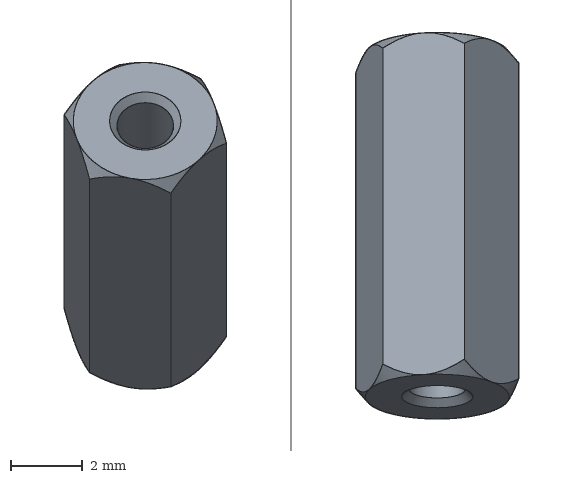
import cadquery as cq
import math

SIDES = 6
ACROSS_FLATS = 4.0
LENGTH = 10.0
BORE_DIAMETER = 1.567
COUNTERSINK_DIAMETER = 1.98
COUNTERSINK_DEPTH = 0.22
CORNER_CHAMFER_HEIGHT = 0.38

flat_radius = ACROSS_FLATS / 2
corner_radius = flat_radius / math.cos(math.pi / SIDES)
bore_radius = BORE_DIAMETER / 2
countersink_radius = COUNTERSINK_DIAMETER / 2


def hexagonal_bar():
    return cq.Workplane("XY").polygon(SIDES, 2 * corner_radius).extrude(LENGTH)


def turned_envelope():
    """Hollow solid of revolution: coned ends that trim the hexagon corners,
    end faces tangent to the flats, and the bore countersunk at both ends."""
    half_section = [
        (bore_radius, COUNTERSINK_DEPTH),
        (countersink_radius, 0),
        (flat_radius, 0),
        (corner_radius, CORNER_CHAMFER_HEIGHT),
        (corner_radius, LENGTH - CORNER_CHAMFER_HEIGHT),
        (flat_radius, LENGTH),
        (countersink_radius, LENGTH),
        (bore_radius, LENGTH - COUNTERSINK_DEPTH),
    ]
    axis_start = (0, 0, 0)
    axis_end = (0, 1, 0)
    return cq.Workplane("XZ").polyline(half_section).close().revolve(360, axis_start, axis_end)


result = hexagonal_bar().intersect(turned_envelope())